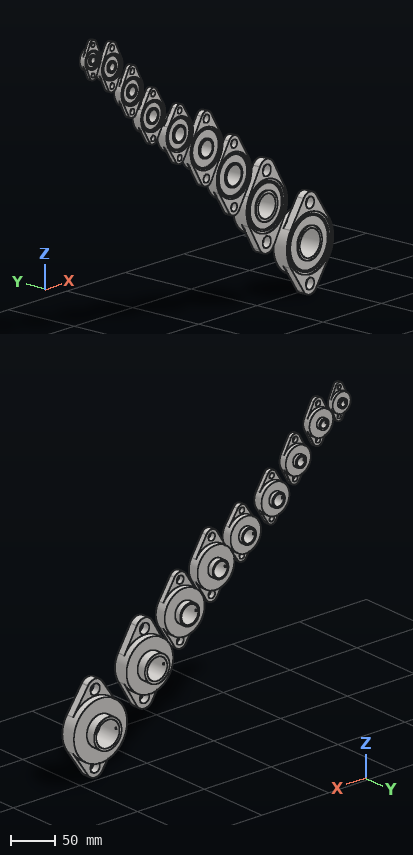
import cadquery as cq
import math


RACE_DEPTH = 1.05
GROOVE_DEPTH = 1.9
SEAL_DEPTH = 1.5

FIELDS = (
    "center_x", "center_z",
    "width", "length", "bolt_spacing", "bolt_hole",
    "race", "groove", "seal", "collar", "bore", "screw_hole",
    "flange_top", "housing_top", "collar_top",
)
SIZES = [
    (0.0, 0.0, 27.0, 48.0, 36.0, 5.0, 23.0, 21.5, 18.5, 12.0, 8.0, 1.5, 4.2, 8.5, 11.5),
    (32.5, -15.3, 35.5, 60.0, 45.0, 7.0, 32.0, 28.5, 26.0, 14.0, 9.8, 1.5, 5.5, 11.0, 15.5),
    (67.0, -52.0, 37.8, 63.0, 48.0, 7.2, 34.0, 30.5, 28.0, 16.0, 12.0, 1.5, 5.5, 11.0, 15.5),
    (102.7, -88.7, 42.0, 67.0, 53.0, 7.0, 37.8, 34.5, 32.3, 19.0, 15.3, 2.0, 6.5, 12.7, 18.3),
    (148.0, -120.0, 46.0, 71.0, 56.0, 7.2, 42.0, 37.8, 36.0, 21.2, 17.5, 2.0, 7.2, 14.0, 19.5),
    (194.0, -147.5, 55.0, 89.5, 71.0, 9.8, 51.0, 46.5, 45.0, 23.8, 20.5, 2.0, 8.0, 15.3, 23.5),
    (241.0, -189.5, 60.0, 95.0, 75.0, 10.0, 55.0, 51.0, 48.5, 29.0, 25.0, 2.0, 8.0, 15.5, 24.5),
    (297.0, -238.0, 70.0, 112.0, 85.0, 14.0, 64.0, 58.0, 54.5, 37.0, 29.7, 2.0, 11.0, 20.5, 33.0),
    (371.0, -298.0, 80.0, 122.0, 96.0, 14.0, 74.0, 68.0, 64.0, 41.0, 35.0, 2.0, 11.0, 20.5, 33.0),
]


def disc(diameter, height):
    """Cylinder on the bearing axis that rises from the mounting face toward +Y."""
    return cq.Workplane("XZ").circle(diameter / 2).extrude(-height)


def face_recess(outer, inner, depth):
    """Ring-shaped cutter that sinks part of the mounting face."""
    return disc(outer, depth).cut(disc(inner, depth))


def flange_plate(size):
    """Plate whose straight sides are tangent to the housing and to a rounded end at each bolt."""
    hub_radius = size["width"] / 2
    bolt_z = size["bolt_spacing"] / 2
    end_radius = size["length"] / 2 - bolt_z

    sine = (hub_radius - end_radius) / bolt_z
    cosine = math.sqrt(1 - sine**2)
    hub_x = hub_radius * cosine
    hub_z = hub_radius * sine
    end_x = end_radius * cosine
    end_z = bolt_z + end_radius * sine
    tip_z = bolt_z + end_radius

    outline = (
        cq.Workplane("XZ")
        .moveTo(hub_x, hub_z)
        .lineTo(end_x, end_z)
        .threePointArc((0, tip_z), (-end_x, end_z))
        .lineTo(-hub_x, hub_z)
        .threePointArc((-hub_radius, 0), (-hub_x, -hub_z))
        .lineTo(-end_x, -end_z)
        .threePointArc((0, -tip_z), (end_x, -end_z))
        .lineTo(hub_x, -hub_z)
        .threePointArc((hub_radius, 0), (hub_x, hub_z))
        .close()
    )
    return outline.extrude(-size["flange_top"])


def bolt_holes(size):
    bolt_z = size["bolt_spacing"] / 2
    return (
        cq.Workplane("XZ")
        .pushPoints([(0, bolt_z), (0, -bolt_z)])
        .circle(size["bolt_hole"] / 2)
        .extrude(-size["flange_top"])
    )


def set_screw_hole(size):
    """Radial hole from the bore out through the -X side of the collar, at mid height."""
    middle = (size["housing_top"] + size["collar_top"]) / 2
    return (
        cq.Workplane("YZ")
        .center(middle, 0)
        .circle(size["screw_hole"] / 2)
        .extrude(-size["collar"])
    )


def flange_bearing(size):
    body = flange_plate(size)
    body = body.union(disc(size["width"], size["housing_top"]))
    body = body.union(disc(size["collar"], size["collar_top"]))

    body = body.cut(face_recess(size["race"], size["groove"], RACE_DEPTH))
    body = body.cut(face_recess(size["groove"], size["seal"], GROOVE_DEPTH))
    body = body.cut(face_recess(size["seal"], size["collar"], SEAL_DEPTH))

    body = body.cut(disc(size["bore"], size["collar_top"]))
    body = body.cut(bolt_holes(size))
    body = body.cut(set_screw_hole(size))
    return body.translate((size["center_x"], 0, size["center_z"]))


bearings = []
for row in SIZES:
    size = dict(zip(FIELDS, row))
    bearings.append(flange_bearing(size).solids().val())

result = cq.Compound.makeCompound(bearings)